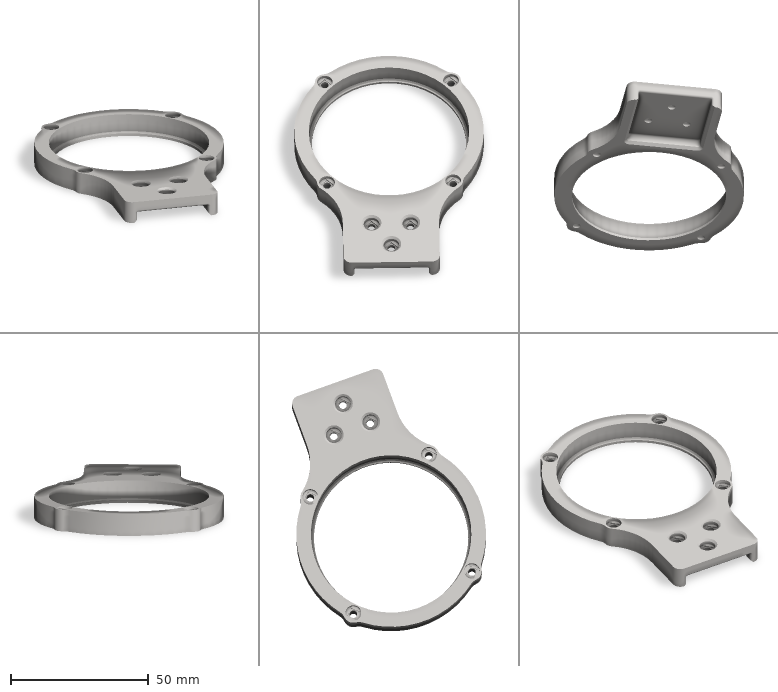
import cadquery as cq
import math

thickness = 8.0
ring_radius = 34.4
bore_diameter = 58.2
lip_diameter = 56.0
seat_z = 1.0
seat_bevel = 0.5

front_boss_angle = 45
rear_boss_angle = 135
boss_circle_radius = 32.4
boss_radius = 3.6
boss_blend_radius = 4.5

pad_reach = 59.6
pad_half_width = 17.5
pad_corner_radius = 2.9
web_radius = 20.0
pad_direction = -45

hole_diameter = 2.8
head_diameter = 5.7
bridge_width = 3.3
bridge_step = 0.3
ring_head_depth = 1.3
pad_head_depth = 2.0
pad_bevel = 0.7
inner_hole_reach = 41.6
inner_hole_offset = 7.05
outer_hole_reach = 51.3

pocket_back = 32.3
pocket_half_width = 13.5
pocket_height = 4.0
pocket_corner_radius = 1.0
roof_fillet = 0.5
mouth_fillet = 0.7
flare_height = 1.0


def polar(radius, degrees):
    angle = math.radians(degrees)
    return (radius * math.cos(angle), radius * math.sin(angle))


def toward(start, target, distance):
    """Point at a distance from start on the line to target."""
    dx = target[0] - start[0]
    dy = target[1] - start[1]
    length = math.hypot(dx, dy)
    return (start[0] + dx * distance / length, start[1] + dy * distance / length)


def arc_to(path, start, end, centre):
    """Add the shorter arc from start to end around centre."""
    radius = math.hypot(start[0] - centre[0], start[1] - centre[1])
    chord_middle = ((start[0] + end[0]) / 2, (start[1] + end[1]) / 2)
    return path.threePointArc(toward(centre, chord_middle, radius), end)


def half_body():
    """Half of the plate on the +Y side of the pad axis, with the pad along +X."""
    origin = (0, 0)
    rear_boss = polar(boss_circle_radius, rear_boss_angle)
    front_boss = polar(boss_circle_radius, front_boss_angle)

    blend_distance = ring_radius + boss_blend_radius
    boss_distance = boss_radius + boss_blend_radius
    blend_angle = math.degrees(math.acos(
        (blend_distance**2 + boss_circle_radius**2 - boss_distance**2)
        / (2 * blend_distance * boss_circle_radius)
    ))

    web_y = pad_half_width + web_radius
    web_rise = web_y - front_boss[1]
    web_x = front_boss[0] + math.sqrt((boss_radius + web_radius)**2 - web_rise**2)
    web_centre = (web_x, web_y)

    corner_x = pad_reach - pad_corner_radius
    corner_y = pad_half_width - pad_corner_radius

    rear_entry = polar(blend_distance, rear_boss_angle + blend_angle)
    rear_leave = polar(blend_distance, rear_boss_angle - blend_angle)
    front_entry = polar(blend_distance, front_boss_angle + blend_angle)

    arcs = [
        (toward(origin, rear_entry, ring_radius), origin),
        (toward(rear_boss, rear_entry, boss_radius), rear_entry),
        (toward(rear_boss, rear_leave, boss_radius), rear_boss),
        (toward(origin, rear_leave, ring_radius), rear_leave),
        (toward(origin, front_entry, ring_radius), origin),
        (toward(front_boss, front_entry, boss_radius), front_entry),
        (toward(front_boss, web_centre, boss_radius), front_boss),
        ((web_x, pad_half_width), web_centre),
    ]

    point = (-ring_radius, 0)
    path = cq.Workplane("XY").moveTo(*point)
    for end, centre in arcs:
        path = arc_to(path, point, end, centre)
        point = end
    path = path.lineTo(corner_x, pad_half_width)
    path = arc_to(path, (corner_x, pad_half_width), (pad_reach, corner_y), (corner_x, corner_y))
    return path.lineTo(pad_reach, 0).close().extrude(thickness)


def bore():
    """Through bore with a lip at the bottom and a bevelled seat."""
    bore_radius = bore_diameter / 2
    lip_radius = lip_diameter / 2
    profile = [
        (0, 0),
        (lip_radius, 0),
        (lip_radius, seat_z),
        (bore_radius - seat_bevel, seat_z),
        (bore_radius, seat_z + seat_bevel),
        (bore_radius, thickness),
        (0, thickness),
    ]
    return cq.Workplane("XZ").polyline(profile).close().revolve(360, (0, 0), (0, 1))


def screw_hole(head_depth, bevel=0):
    """Hole, square, slot along X and round head recess, centred on the origin."""
    head_z = thickness - head_depth
    head_radius = head_diameter / 2
    cutter = cq.Workplane("XY").circle(hole_diameter / 2).extrude(thickness)
    square = (cq.Workplane("XY").workplane(offset=head_z - 2 * bridge_step)
              .rect(bridge_width, bridge_width).extrude(2 * bridge_step))
    head = cq.Workplane("XY").workplane(offset=head_z).circle(head_radius).extrude(head_depth)
    slot = (cq.Workplane("XY").workplane(offset=head_z - bridge_step)
            .circle(head_radius).extrude(bridge_step)
            .intersect(cq.Workplane("XY").box(head_diameter, bridge_width, 2 * thickness)))
    cutter = cutter.union(square).union(slot).union(head)
    if bevel:
        cone = cq.Solid.makeCone(head_radius, head_radius + bevel, bevel,
                                 pnt=cq.Vector(0, 0, thickness - bevel))
        cutter = cutter.union(cq.Workplane(cone))
    return cutter


def pocket():
    """Pocket with its open end on the pad's end face."""
    length = pad_reach - pocket_back
    cavity = (cq.Workplane("XY").rect(length, 2 * pocket_half_width).extrude(pocket_height)
              .translate((pocket_back + length / 2, 0, 0)))
    cavity = cavity.edges("|Z and <X").fillet(pocket_corner_radius)
    return cavity.faces(">Z").edges("not >X").fillet(roof_fillet)


def pocket_flare():
    """Outward slope around the bottom of the pocket, running out past the pad's end face."""
    corner = pocket_corner_radius + flare_height
    back = pocket_back - flare_height
    front = pad_reach + 2 * corner
    return (cq.Workplane("XY").center((back + front) / 2, 0)
            .sketch()
            .rect(front - back, 2 * (pocket_half_width + flare_height))
            .vertices().fillet(corner)
            .finalize()
            .extrude(flare_height, taper=45))


def pad_body():
    """Plate with its pocket, still with the pad along +X."""
    half = half_body()
    plate = half.union(half.mirror("XZ")).cut(pocket())

    margin = 0.1
    mouth = cq.selectors.BoxSelector(
        (pad_reach - margin, -pocket_half_width - margin, margin),
        (pad_reach + margin, pocket_half_width + margin, pocket_height + margin),
    )
    return plate.edges(mouth).fillet(mouth_fillet).cut(pocket_flare())


def turned(shape, degrees):
    """Shape turned about the bore axis."""
    return shape.rotate((0, 0, 0), (0, 0, 1), degrees)


body = turned(pad_body(), pad_direction).cut(bore())

ring_hole = screw_hole(ring_head_depth).translate((0, boss_circle_radius, 0))
for quarter in range(4):
    body = body.cut(turned(ring_hole, 90 * quarter))

pad_hole = screw_hole(pad_head_depth, pad_bevel)
for reach, offset in (
    (inner_hole_reach, inner_hole_offset),
    (inner_hole_reach, -inner_hole_offset),
    (outer_hole_reach, 0),
):
    angle = pad_direction + math.degrees(math.atan2(offset, reach))
    x, y = polar(math.hypot(reach, offset), angle)
    body = body.cut(pad_hole.translate((x, y, 0)))

result = body